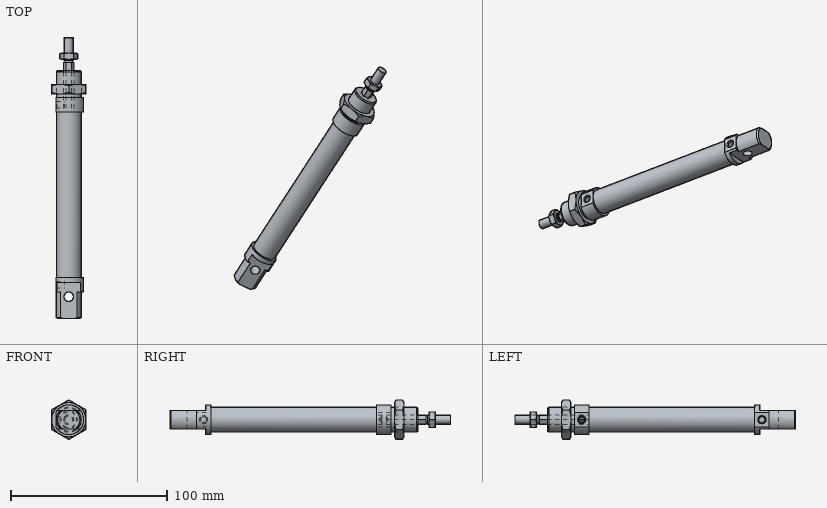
import cadquery as cq
import math


LENGTH = 180.0
REAR_COLLAR_START = 17.1
TAB_FLAT_END = 23.0
REAR_COLLAR_END = 26.3
FRONT_COLLAR_START = 132.3
FRONT_COLLAR_END = 141.8
MOUNTING_NUT_START = 144.0
NOSE_END = 159.0
ROD_HEX_END = 164.2
ROD_THREAD_START = 165.2
LOCK_NUT_START = 166.1

BARREL_DIAMETER = 16.0
COLLAR_DIAMETER = 19.0
PORT_FACE_X = -8.3
NOSE_CHAMFER_LENGTH = 0.9
NOSE_CHAMFER_DEPTH = 0.5
TAB_CHAMFER = 0.9
TAB_THICKNESS = 12.0
PIVOT_HOLE_DIAMETER = 6.0
PIVOT_HOLE_Y = 14.0

PORT_DIAMETER = 4.0
PORT_MOUTH_DIAMETER = 5.2
PORT_BOTTOM_X = -2.9

ROD_HEX_ACROSS_FLATS = 6.0
ROD_THREAD_DIAMETER = 6.0
ROD_NECK_DIAMETER = 5.0

MOUNTING_NUT_ACROSS_FLATS = 22.0
MOUNTING_NUT_THICKNESS = 6.1
LOCK_NUT_ACROSS_FLATS = 10.0
LOCK_NUT_THICKNESS = 4.0
NUT_CHAMFER_ANGLE = 30.0


def cylinder(diameter, start, end):
    """Round bar along the Y axis between two Y positions."""
    return cq.Workplane("XZ", origin=(0, start, 0)).circle(diameter / 2).extrude(start - end)


def hexagon(across_flats, start, end, corner_angle=0.0):
    """Hexagonal bar along the Y axis; corner_angle is measured from X to one corner."""
    corner_diameter = across_flats / math.cos(math.pi / 6)
    bar = cq.Workplane("XZ", origin=(0, start, 0)).polygon(6, corner_diameter).extrude(start - end)
    return bar.rotate((0, 0, 0), (0, 1, 0), corner_angle)


def hex_nut(across_flats, bore_diameter, start, end, corner_angle=0.0):
    """Hexagonal nut whose corners are turned to a cone on both end faces."""
    corner_radius = across_flats / 2 / math.cos(math.pi / 6)
    chamfer_depth = corner_radius - across_flats / 2
    chamfer_length = chamfer_depth * math.tan(math.radians(NUT_CHAMFER_ANGLE))
    turned_blank = (
        cylinder(2 * corner_radius, start, end)
        .faces("<Y or >Y")
        .chamfer(chamfer_length, chamfer_depth)
    )
    nut = hexagon(across_flats, start, end, corner_angle).intersect(turned_blank)
    return nut.cut(cylinder(bore_diameter, start, end))


def make_port(port_y):
    """Blind port with a countersunk mouth, sunk into the port face towards +X."""
    port_plane = cq.Workplane("YZ", origin=(PORT_FACE_X, port_y, 0))
    bore = port_plane.circle(PORT_DIAMETER / 2).extrude(PORT_BOTTOM_X - PORT_FACE_X)
    mouth_depth = (PORT_MOUTH_DIAMETER - PORT_DIAMETER) / 2
    mouth = (
        port_plane.circle(PORT_MOUTH_DIAMETER / 2)
        .workplane(offset=mouth_depth)
        .circle(PORT_DIAMETER / 2)
        .loft()
    )
    return bore.union(mouth)


def make_collar(start, end):
    """Round collar with a flat port face on its -X side."""
    collar = cylinder(COLLAR_DIAMETER, start, end)
    width = COLLAR_DIAMETER
    block = cq.Workplane("XY").box(width, end - start, width, centered=(False, False, True))
    return collar.intersect(block.translate((PORT_FACE_X, start, 0)))


def make_tab_waste():
    """Material above and below the flat mounting tab."""
    width = COLLAR_DIAMETER
    blank = cq.Workplane("XY").box(width, TAB_FLAT_END, width, centered=(True, False, True))
    tab = cq.Workplane("XY").box(width, TAB_FLAT_END, TAB_THICKNESS, centered=(True, False, True))
    return blank.cut(tab)


def make_rod():
    """Piston rod: hexagonal shank, undercut neck and round threaded end."""
    shank = hexagon(ROD_HEX_ACROSS_FLATS, FRONT_COLLAR_START, ROD_HEX_END)
    neck = cylinder(ROD_NECK_DIAMETER, ROD_HEX_END, ROD_THREAD_START)
    thread = cylinder(ROD_THREAD_DIAMETER, ROD_THREAD_START, LENGTH)
    return shank.union(neck).union(thread)


def make_barrel():
    """Barrel with its nose, collars, ports, mounting tab and rod hole."""
    body = (
        cylinder(BARREL_DIAMETER, 0, NOSE_END)
        .faces(">Y")
        .chamfer(NOSE_CHAMFER_LENGTH, NOSE_CHAMFER_DEPTH)
        .faces("<Y")
        .chamfer(TAB_CHAMFER)
    )
    collars = [(REAR_COLLAR_START, REAR_COLLAR_END), (FRONT_COLLAR_START, FRONT_COLLAR_END)]
    for start, end in collars:
        body = body.union(make_collar(start, end))
    for start, end in collars:
        body = body.cut(make_port((start + end) / 2))

    body = body.cut(make_tab_waste())
    pivot_hole = (
        cq.Workplane("XY", origin=(0, PIVOT_HOLE_Y, 0))
        .circle(PIVOT_HOLE_DIAMETER / 2)
        .extrude(TAB_THICKNESS / 2, both=True)
    )
    rod_hole = hexagon(ROD_HEX_ACROSS_FLATS, FRONT_COLLAR_START, NOSE_END)
    return body.cut(pivot_hole).cut(rod_hole)


def make_mounting_nut():
    """Large nut on the nose, with its corners pointing along Z."""
    end = MOUNTING_NUT_START + MOUNTING_NUT_THICKNESS
    return hex_nut(MOUNTING_NUT_ACROSS_FLATS, BARREL_DIAMETER, MOUNTING_NUT_START, end, corner_angle=90.0)


def make_lock_nut():
    """Small nut on the rod thread, with its corners pointing along X."""
    end = LOCK_NUT_START + LOCK_NUT_THICKNESS
    return hex_nut(LOCK_NUT_ACROSS_FLATS, ROD_THREAD_DIAMETER, LOCK_NUT_START, end)


barrel = make_barrel()
rod = make_rod()
mounting_nut = make_mounting_nut()
lock_nut = make_lock_nut()

result = cq.Compound.makeCompound([barrel.val(), rod.val(), mounting_nut.val(), lock_nut.val()])